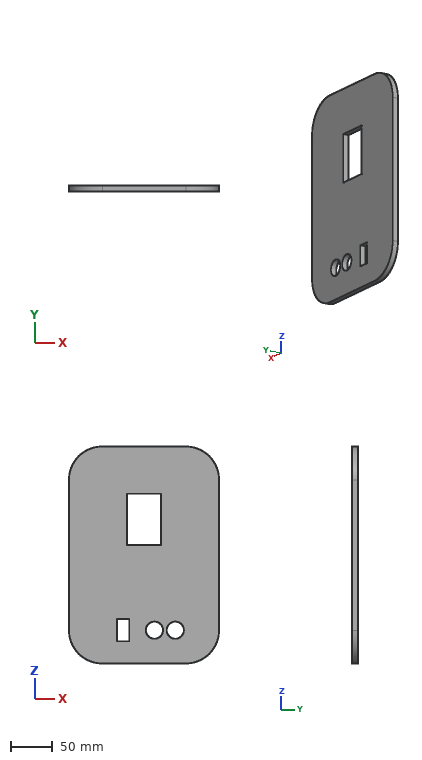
import cadquery as cq

plate_width = 180.0
plate_height = 260.0
plate_thickness = 7.5
corner_radius = 40.0

window_width = 40.5
window_height = 60.8
window_z = 42.6

lower_row_z = -90.0
slot_width = 14.3
slot_height = 26.3
slot_x = -25.0
hole_diameter = 20.3
first_hole_x = 12.5
hole_spacing = 25.0


def make_plate():
    """Flat plate with rounded corners."""
    blank = cq.Workplane("XY").box(plate_width, plate_thickness, plate_height)
    return blank.edges("|Y").fillet(corner_radius)


def rectangular_cutter(width, height, x, z):
    """Block that cuts a rectangular opening through the plate."""
    cutter_depth = 2 * plate_thickness
    return cq.Workplane("XY").box(width, cutter_depth, height).translate((x, 0, z))


def round_hole_cutters():
    """Pair of cylinders that cut the round holes through the plate."""
    centres = [(first_hole_x + i * hole_spacing, lower_row_z) for i in range(2)]
    behind_plate = cq.Workplane("XZ", origin=(0, plate_thickness, 0))
    return behind_plate.pushPoints(centres).circle(hole_diameter / 2).extrude(2 * plate_thickness)


result = (
    make_plate()
    .cut(rectangular_cutter(window_width, window_height, 0, window_z))
    .cut(rectangular_cutter(slot_width, slot_height, slot_x, lower_row_z))
    .cut(round_hole_cutters())
)